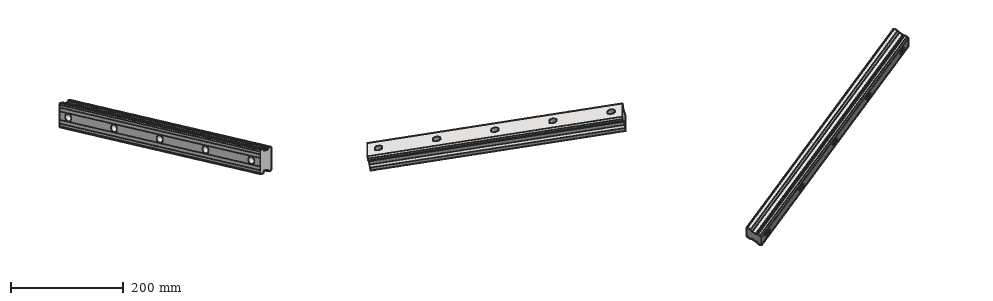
import cadquery as cq

length = 460.0
depth = 32.0
height = 45.0
half_depth = depth / 2
half_height = height / 2

back_chamfer_y = 3.0
front_chamfer_y = 2.0
chamfer_z = 2.8

floor_z = 18.5
groove_front_y = -7.5
floor_front_y = -3.5
floor_back_y = 3.5
flank_foot_y = 5.0
flank_foot_z = 19.0
flank_head_y = 8.0
flank_head_z = 21.0
groove_back_y = 8.5

strip_inner_z = 8.0
strip_outer_z = 14.5
strip_depth = 0.1

hole_diameter = 14.0
hole_count = 5
hole_pitch = 105.0


def make_rail():
    """Extrude the grooved section, symmetric about Z = 0."""
    upper = [
        (-half_depth, half_height - chamfer_z),
        (-half_depth + front_chamfer_y, half_height),
        (groove_front_y, half_height),
        (floor_front_y, floor_z),
        (floor_back_y, floor_z),
        (flank_foot_y, flank_foot_z),
        (flank_head_y, flank_head_z),
        (groove_back_y, half_height),
        (half_depth - back_chamfer_y, half_height),
        (half_depth, half_height - chamfer_z),
    ]
    lower = [(y, -z) for y, z in reversed(upper)]
    section = cq.Workplane("YZ").polyline(upper + lower).close()
    return section.extrude(length / 2, both=True)


def make_relief_strips():
    """Two thin bars that sink strips into the mounting face."""
    strip_center_z = (strip_inner_z + strip_outer_z) / 2
    return (
        cq.Workplane("XZ", origin=(0, -half_depth, 0))
        .pushPoints([(0, strip_center_z), (0, -strip_center_z)])
        .rect(length, strip_outer_z - strip_inner_z)
        .extrude(-strip_depth)
    )


def make_holes():
    """A centered row of plain through holes along Y."""
    return (
        cq.Workplane("XZ")
        .rarray(hole_pitch, 4.5, hole_count, 1)
        .circle(hole_diameter / 2)
        .extrude(depth, both=True)
    )


result = make_rail().cut(make_relief_strips()).cut(make_holes())